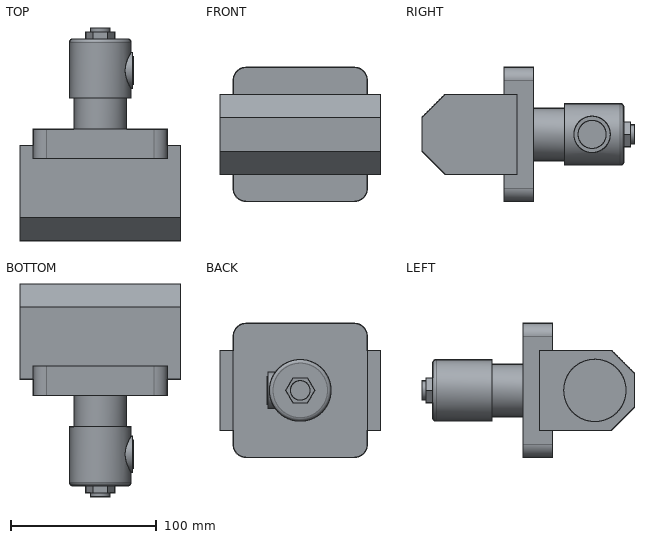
import cadquery as cq
import math

block_back = 65.4
flange_front = 56.3
flange_back = 76.6
neck_end = 97.7
cap_end = 138.5
nut_end = 143.1
stud_end = 145.9

block_width = 110.0
block_height = 55.0
block_chamfer = 15.9
flange_size = 92.0
flange_corner_radius = 9.0
bore_diameter = 42.7
bore_depth = 18.0
bore_y = 27.3

neck_diameter = 36.2
cap_diameter = 42.3
cap_fillet = 2.5
nut_across_flats = 17.2
nut_across_corners = nut_across_flats / math.cos(math.pi / 6)
stud_diameter = 13.4
port_y = 116.7
port_diameter = 25.0
port_end = 22.2
port_lip_diameter = 19.3
port_lip_end = 22.9


def section_at(y):
    """Sketch plane at the given Y, with its normal along +Y and its second axis along Z."""
    return cq.Workplane(cq.Plane(origin=(0, y, 0), xDir=(-1, 0, 0), normal=(0, 1, 0)))


def cylinder_along_y(diameter, start, end):
    return section_at(start).circle(diameter / 2).extrude(end - start)


def cylinder_along_x(diameter, y, start, length):
    return cq.Workplane("YZ", origin=(start, y, 0)).circle(diameter / 2).extrude(length)


def make_housing():
    block = (
        cq.Workplane("XY")
        .box(block_width, block_back, block_height, centered=(True, False, True))
        .edges("<Y and |X")
        .chamfer(block_chamfer)
    )
    flange = (
        section_at(flange_front)
        .rect(flange_size, flange_size)
        .extrude(flange_back - flange_front)
        .edges("|Y")
        .fillet(flange_corner_radius)
    )
    bore = cylinder_along_x(bore_diameter, bore_y, -block_width / 2, bore_depth)
    return block.union(flange).cut(bore)


def make_actuator():
    neck = cylinder_along_y(neck_diameter, flange_back, neck_end)
    cap = cylinder_along_y(cap_diameter, neck_end, cap_end).faces(">Y").edges().fillet(cap_fillet)
    nut = section_at(cap_end).polygon(6, nut_across_corners).extrude(nut_end - cap_end)
    stud = cylinder_along_y(stud_diameter, nut_end, stud_end)
    port = cylinder_along_x(port_diameter, port_y, 0, port_end)
    port_lip = cylinder_along_x(port_lip_diameter, port_y, 0, port_lip_end)
    return neck.union(cap).union(nut).union(stud).union(port).union(port_lip)


housing = make_housing()
actuator = make_actuator()

result = cq.Compound.makeCompound([housing.val(), actuator.val()])